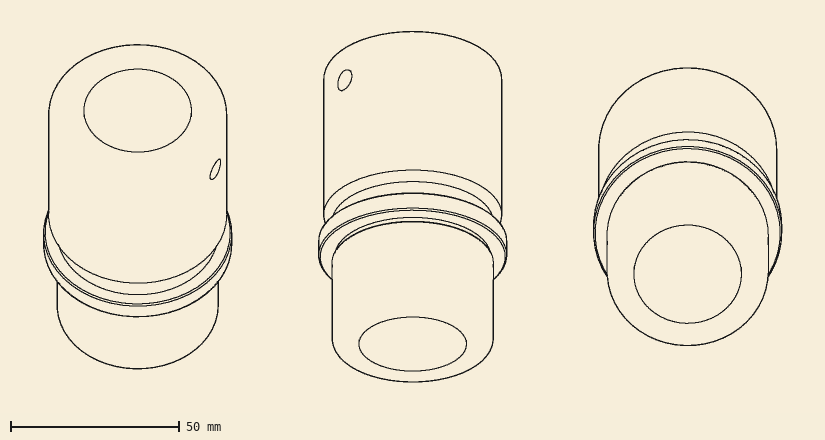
import cadquery as cq

length = 93.0
bore_diameter = 32.0
head_diameter = 53.0
shank_diameter = 48.0
collar_diameter = 56.0
groove_diameter = 46.5

shank_top = 28.1
collar_bottom = 30.0
collar_top = 36.0
head_bottom = 44.5

end_fillet = 2.0
collar_chamfer = 0.5
shoulder_chamfer = 0.5

hole_diameter = 6.5
hole_depth_from_top = 12.1

bore_radius = bore_diameter / 2
head_radius = head_diameter / 2
shank_radius = shank_diameter / 2
collar_radius = collar_diameter / 2
groove_radius = groove_diameter / 2

groove_bottom = shank_top + shoulder_chamfer
neck_top = head_bottom - (head_radius - shank_radius)


def cylinder(radius, bottom, top):
    return cq.Workplane("XY").workplane(offset=bottom).circle(radius).extrude(top - bottom)


def make_shank():
    """Lower spigot with a rounded bottom edge and a chamfered shoulder."""
    shank = cylinder(shank_radius, 0, groove_bottom)
    shank = shank.faces(">Z").chamfer(shoulder_chamfer)
    return shank.faces("<Z").edges().fillet(end_fillet)


def make_collar():
    collar = cylinder(collar_radius, collar_bottom, collar_top)
    return collar.faces("<Z or >Z").edges().chamfer(collar_chamfer)


def make_head():
    """Upper barrel with a coned underside and a rounded top edge."""
    head = cylinder(head_radius, neck_top, length)
    head = head.faces("<Z").chamfer(head_bottom - neck_top)
    return head.faces(">Z").edges().fillet(end_fillet)


def make_radial_hole():
    return (
        cq.Workplane("YZ")
        .center(0, length - hole_depth_from_top)
        .circle(hole_diameter / 2)
        .extrude(collar_radius)
    )


groove = cylinder(groove_radius, groove_bottom, collar_bottom)
neck = cylinder(shank_radius, collar_top, neck_top)

body = make_shank().union(groove).union(make_collar()).union(neck).union(make_head())
bore = cylinder(bore_radius, 0, length)

result = body.cut(bore).cut(make_radial_hole())